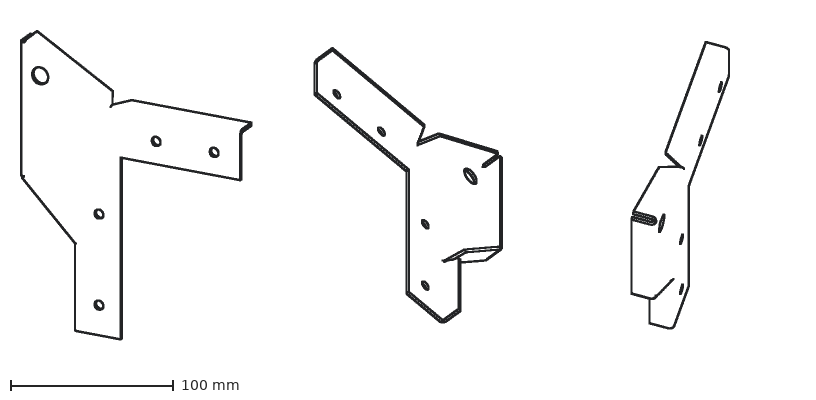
import cadquery as cq
import math

total_width = 152.5
total_height = 186.3
flange_depth = 15.0
thickness = 2.0
bend_radius = 3.0
inner_radius = bend_radius - thickness

roof_angle = 30.0
knee_angle = 45.0
arm_top = 152.5
arm_bottom = 119.8
leg_left = 37.3
leg_right = 69.9
side_length = 88.3

side_x = bend_radius
side_top = total_height - bend_radius * math.cos(math.radians(roof_angle))
side_bottom = side_top - side_length
arm_fold_z = arm_top - bend_radius
leg_fold_x = leg_left + bend_radius
roof_end_x = side_x + (side_top - arm_fold_z) / math.tan(math.radians(roof_angle))
knee_z = side_bottom - (leg_fold_x - side_x) * math.tan(math.radians(knee_angle))

leg_foot = (leg_fold_x, 0)
knee = (leg_fold_x, knee_z)
side_low = (side_x, side_bottom)
side_high = (side_x, side_top)
roof_end = (roof_end_x, arm_fold_z)
arm_tip = (total_width, arm_fold_z)

relief_angle = 30.0

large_hole_diameter = 11.0
large_hole_center = (14.3, 163.8)
small_hole_diameter = 6.0
arm_hole_z = 134.9
arm_hole_x = 94.5
arm_hole_pitch = 40.0
leg_hole_x = 55.0
leg_hole_z = 20.0
leg_hole_pitch = 60.0


def front_plane():
    """Plane of the web front, with local Y along Z and the normal toward -Y."""
    return cq.Workplane("XZ")


def make_web():
    outline = [
        leg_foot, knee, side_low, side_high, roof_end, arm_tip,
        (total_width, arm_bottom), (leg_right, arm_bottom), (leg_right, 0),
    ]
    return front_plane().polyline(outline).close().extrude(-thickness)


def make_end_cut(half_turn):
    """Waste at a flange start: local X runs along the fold, local Z outward, Y is depth."""
    miter_slope = math.tan(math.radians(half_turn))
    miter_end = bend_radius * miter_slope
    miter = (
        cq.Workplane("XZ")
        .polyline([(0, 0), (miter_end, bend_radius), (0, bend_radius)])
        .close()
        .extrude(-flange_depth)
    )
    relief_end = miter_end + (flange_depth - bend_radius) * math.tan(math.radians(relief_angle))
    relief = (
        cq.Workplane("XY")
        .polyline([
            (0, bend_radius), (miter_end, bend_radius),
            (relief_end, flange_depth), (0, flange_depth),
        ])
        .close()
        .extrude(bend_radius)
    )
    return miter.union(relief)


def make_flange(start, end, start_turn=0, end_turn=0):
    """Folded flange left of the fold line start-end; a turn is an inward corner's angle."""
    run_x = end[0] - start[0]
    run_z = end[1] - start[1]
    length = math.hypot(run_x, run_z)
    diagonal = math.sqrt(0.5)
    flange = (
        cq.Workplane("YZ")
        .moveTo(0, 0)
        .threePointArc(
            (bend_radius * (1 - diagonal), bend_radius * diagonal),
            (bend_radius, bend_radius),
        )
        .lineTo(flange_depth, bend_radius)
        .lineTo(flange_depth, inner_radius)
        .lineTo(bend_radius, inner_radius)
        .threePointArc(
            (bend_radius - inner_radius * diagonal, inner_radius * diagonal),
            (thickness, 0),
        )
        .close()
        .extrude(length)
    )
    if start_turn:
        flange = flange.cut(make_end_cut(start_turn / 2))
    if end_turn:
        end_cut = make_end_cut(end_turn / 2).mirror("YZ").translate((length, 0, 0))
        flange = flange.cut(end_cut)
    fold_angle = math.degrees(math.atan2(run_z, run_x))
    flange = flange.rotate((0, 0, 0), (0, 1, 0), -fold_angle)
    return flange.translate((start[0], 0, start[1]))


def make_holes():
    small_centers = [
        (arm_hole_x, arm_hole_z),
        (arm_hole_x + arm_hole_pitch, arm_hole_z),
        (leg_hole_x, leg_hole_z),
        (leg_hole_x, leg_hole_z + leg_hole_pitch),
    ]
    small = front_plane().pushPoints(small_centers).circle(small_hole_diameter / 2).extrude(-thickness)
    large = front_plane().pushPoints([large_hole_center]).circle(large_hole_diameter / 2).extrude(-thickness)
    return small.union(large)


flanges = [
    make_flange(leg_foot, knee, end_turn=knee_angle),
    make_flange(knee, side_low, start_turn=knee_angle),
    make_flange(side_low, side_high),
    make_flange(side_high, roof_end, end_turn=roof_angle),
    make_flange(roof_end, arm_tip, start_turn=roof_angle),
]

result = make_web().cut(make_holes())
for flange in flanges:
    result = result.union(flange)